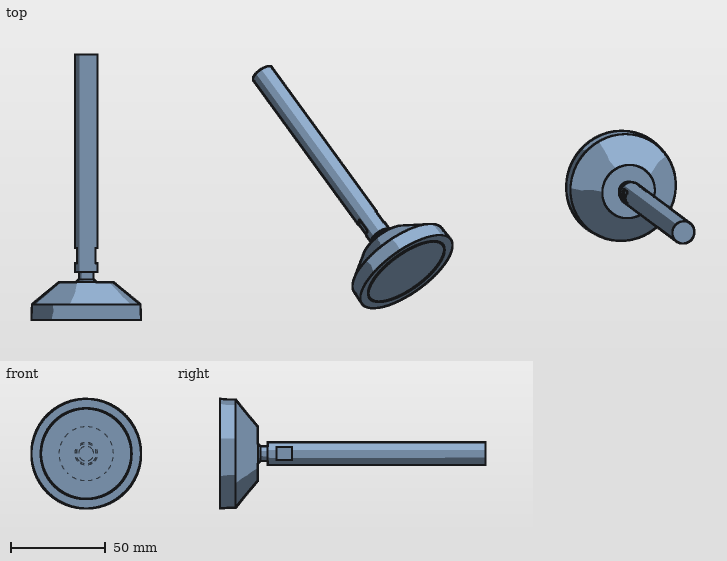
import cadquery as cq

TOTAL_LENGTH = 140.0

BASE_DIAMETER = 58.0
RIM_TOP_DIAMETER = 57.3
RIM_HEIGHT = 8.3
CROWN_DIAMETER = 28.5
FOOT_HEIGHT = 20.0
GROOVE_OUTER_DIAMETER = 48.0
GROOVE_INNER_DIAMETER = 47.5
GROOVE_DEPTH = 0.3

STUD_DIAMETER = 12.0
NECK_DIAMETER = 7.8
NECK_LENGTH = 3.8
SHANK_START = 25.2
CONE_START = SHANK_START - NECK_LENGTH
CONE_BASE_DIAMETER = NECK_DIAMETER + 2 * (CONE_START - FOOT_HEIGHT)

ACROSS_FLATS = 10.0
FLAT_START = 30.0
FLAT_LENGTH = 8.0


def revolve_about_y(points):
    """Turn an outline of (radius, y) points about the Y axis."""
    return cq.Workplane("XY").polyline(points).close().revolve(360, (0, 0, 0), (0, 1, 0))


def make_foot():
    """Drafted rim and conical crown, with a fine ring groove in the ground face."""
    body = revolve_about_y([
        (0, 0),
        (BASE_DIAMETER / 2, 0),
        (RIM_TOP_DIAMETER / 2, RIM_HEIGHT),
        (CROWN_DIAMETER / 2, FOOT_HEIGHT),
        (0, FOOT_HEIGHT),
    ])
    groove = revolve_about_y([
        (GROOVE_INNER_DIAMETER / 2, 0),
        (GROOVE_OUTER_DIAMETER / 2, 0),
        (GROOVE_OUTER_DIAMETER / 2, GROOVE_DEPTH),
        (GROOVE_INNER_DIAMETER / 2, GROOVE_DEPTH),
    ])
    return body.cut(groove)


def make_flat_cut(side):
    """Block that cuts one wrench flat, on the +X (1) or -X (-1) side."""
    block_width = STUD_DIAMETER
    center_x = side * (ACROSS_FLATS + block_width) / 2
    center_y = FLAT_START + FLAT_LENGTH / 2
    return cq.Workplane("XY").box(block_width, FLAT_LENGTH, STUD_DIAMETER).translate((center_x, center_y, 0))


def make_stud():
    """Plain shank with two wrench flats, on a neck that flares onto the crown."""
    stud = revolve_about_y([
        (0, FOOT_HEIGHT),
        (CONE_BASE_DIAMETER / 2, FOOT_HEIGHT),
        (NECK_DIAMETER / 2, CONE_START),
        (NECK_DIAMETER / 2, SHANK_START),
        (STUD_DIAMETER / 2, SHANK_START),
        (STUD_DIAMETER / 2, TOTAL_LENGTH),
        (0, TOTAL_LENGTH),
    ])
    for side in (-1, 1):
        stud = stud.cut(make_flat_cut(side))
    return stud


foot = make_foot()
stud = make_stud()

result = cq.Compound.makeCompound([foot.val(), stud.val()])